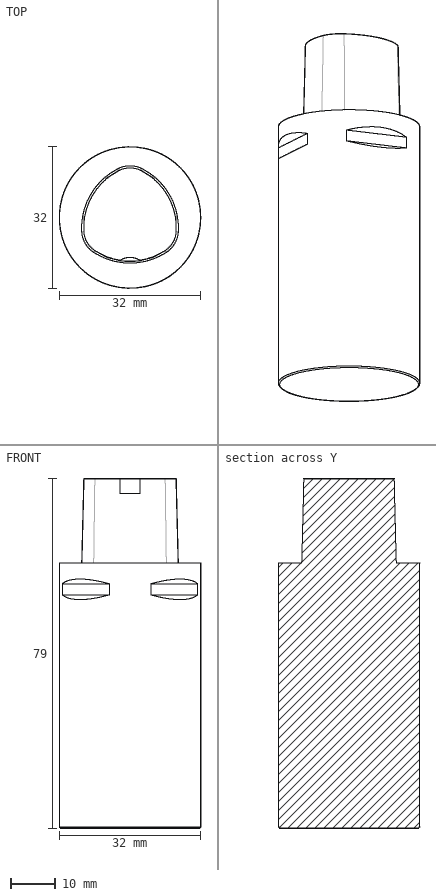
import cadquery as cq
import math

body_diameter = 32.0
body_length = 60.0
bottom_chamfer = 0.3

shank_length = 19.0
shank_mean_diameter = 22.0
shank_eccentricity = 0.69
lobe_radius = 6.0
lobe_count = 3
first_lobe_angle = 90.0
taper_on_diameter = 1 / 20

notch_radius = 4.0
notch_height = 3.4
notch_floor_offset = 9.0

slot_count = 4
first_slot_angle = 45.0
slot_floor_length = 15.0
slot_floor_height = 2.5
slot_flank_angle = 30.0
slot_centre_depth = 6.0

body_radius = body_diameter / 2
lobe_pitch = 360.0 / lobe_count
slot_pitch = 360.0 / slot_count

slot_floor_offset = math.sqrt(body_radius**2 - (slot_floor_length / 2) ** 2)


def polar(radius, angle):
    """Point in the XY plane at a radius and an angle in degrees."""
    radians = math.radians(angle)
    return (radius * math.cos(radians), radius * math.sin(radians))


def make_body():
    body = cq.Workplane("XY").workplane(offset=-body_length).circle(body_radius).extrude(body_length)
    return body.faces("<Z").edges().chamfer(bottom_chamfer)


def make_shank():
    """Lobe arcs joined tangentially by flatter flank arcs, drawn in by the taper."""
    lobe_reach = shank_mean_diameter / 2 + shank_eccentricity
    flank_reach = shank_mean_diameter / 2 - shank_eccentricity
    lobe_centre = lobe_reach - lobe_radius

    reach_gap = flank_reach - lobe_radius
    flank_centre = (lobe_centre**2 - reach_gap**2) / (2 * reach_gap - lobe_centre)

    half_pitch = math.radians(lobe_pitch / 2)
    centre_along = lobe_centre + flank_centre * math.cos(half_pitch)
    centre_across = flank_centre * math.sin(half_pitch)
    half_sweep = math.atan2(centre_across, centre_along)
    joint_along = lobe_centre + lobe_radius * math.cos(half_sweep)
    joint_across = lobe_radius * math.sin(half_sweep)
    joint_radius = math.hypot(joint_along, joint_across)
    joint_angle = math.degrees(math.atan2(joint_across, joint_along))

    outline = cq.Workplane("XY").moveTo(*polar(joint_radius, first_lobe_angle - joint_angle))
    for index in range(lobe_count):
        lobe_angle = first_lobe_angle + index * lobe_pitch
        outline = outline.threePointArc(
            polar(lobe_reach, lobe_angle),
            polar(joint_radius, lobe_angle + joint_angle),
        )
        outline = outline.threePointArc(
            polar(flank_reach, lobe_angle + lobe_pitch / 2),
            polar(joint_radius, lobe_angle + lobe_pitch - joint_angle),
        )
    side_angle = math.degrees(math.atan(taper_on_diameter / 2))
    return outline.close().extrude(shank_length, taper=side_angle)


def make_notch():
    """Cylinder that scoops the notch out of the top of the shank."""
    return (
        cq.Workplane("XY")
        .workplane(offset=shank_length - notch_height)
        .center(0, -notch_floor_offset - notch_radius)
        .circle(notch_radius)
        .extrude(notch_height)
    )


def make_slot(angle):
    """Straight trapezoidal bar that widens outwards from the slot floor."""
    slot_depth = body_radius - slot_floor_offset
    floor_half = slot_floor_height / 2
    mouth_half = floor_half + slot_depth * math.tan(math.radians(slot_flank_angle))
    bar = (
        cq.Workplane("XZ")
        .polyline(
            [
                (slot_floor_offset, -floor_half),
                (body_radius, -mouth_half),
                (body_radius, mouth_half),
                (slot_floor_offset, floor_half),
            ]
        )
        .close()
        .extrude(body_radius, both=True)
    )
    return bar.translate((0, 0, -slot_centre_depth)).rotate((0, 0, 0), (0, 0, 1), angle)


result = make_body().union(make_shank()).cut(make_notch())
for slot_index in range(slot_count):
    result = result.cut(make_slot(first_slot_angle + slot_index * slot_pitch))